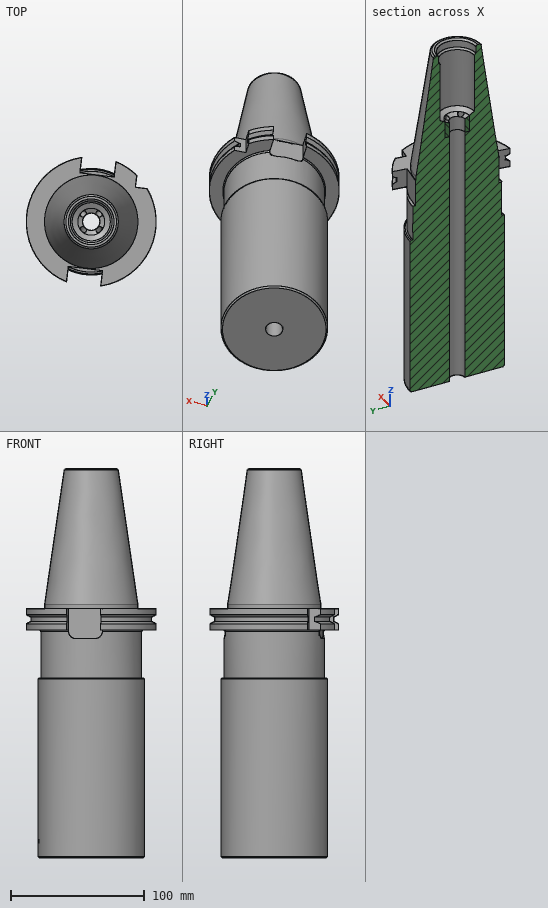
import cadquery as cq
import math

total_length = 291.6
taper_length = 101.8
flange_drop = 3.2
flange_thickness = 16.0
gauge_z = total_length - taper_length
flange_top_z = gauge_z - flange_drop
flange_bottom_z = flange_top_z - flange_thickness
shoulder_z = 134.7

taper_large_d = 70.0
taper_ratio = 7 / 24
taper_end_d = taper_large_d - taper_length * taper_ratio
flange_d = 97.5
collar_d = 77.0
collar_height = 1.2
neck_d = 75.5
body_d = 80.0
edge_chamfer = 1.2
shoulder_chamfer = 1.0

groove_z = 178.8
groove_bottom_d = 91.5
groove_bottom_width = 3.5
groove_half_angle = 30.0
groove_depth = (flange_d - groove_bottom_d) / 2
groove_mouth_width = groove_bottom_width + 2 * groove_depth * math.tan(math.radians(groove_half_angle))
relief_d = 90.5

feature_turn = -7.0
slot_width = 25.7
slot_floor_r = 35.3
slot_bottom_z = 164.2
slot_corner_r = 5.8
recess_corner = 29.7

mouth_d = 31.2
mouth_chamfer = 1.5
mouth_depth = 7.3
seat_depth = 1.5
bore_d = 28.5
bore_depth = 58.3
cone_angle = 30.0
cone_slope = math.tan(math.radians(cone_angle))
through_d = 12.8
cone_edge_z = total_length - bore_depth
cone_foot_z = cone_edge_z - (bore_d - through_d) / 2 * cone_slope

insert_d = 20.0
insert_height = 11.7
insert_base_z = cone_foot_z - insert_height

notch_count = 4
notch_d = 5.0
notch_tilt = 45.0
notch_r = 8.5
notch_first_angle = 45.0
notch_cut_length = 11.7

pin_d = 2.5
pin_length = 5.8
pin_z = 12.5
pin_angle = 189.6


def turned_blank():
    """Taper, flange, neck and body as one turned shape."""
    r = body_d / 2
    taper_edge_r = taper_end_d / 2 + edge_chamfer * taper_ratio / 2
    return (
        cq.Workplane("XZ")
        .moveTo(0, 0)
        .lineTo(r - edge_chamfer, 0)
        .lineTo(r, edge_chamfer)
        .lineTo(r, shoulder_z - shoulder_chamfer)
        .lineTo(r - shoulder_chamfer, shoulder_z)
        .lineTo(neck_d / 2, shoulder_z)
        .lineTo(neck_d / 2, flange_bottom_z - collar_height)
        .lineTo(collar_d / 2, flange_bottom_z)
        .lineTo(flange_d / 2, flange_bottom_z)
        .lineTo(flange_d / 2, groove_z - groove_mouth_width / 2)
        .lineTo(groove_bottom_d / 2, groove_z - groove_bottom_width / 2)
        .lineTo(relief_d / 2, groove_z - groove_bottom_width / 2)
        .lineTo(relief_d / 2, groove_z + groove_bottom_width / 2)
        .lineTo(groove_bottom_d / 2, groove_z + groove_bottom_width / 2)
        .lineTo(flange_d / 2, groove_z + groove_mouth_width / 2)
        .lineTo(flange_d / 2, flange_top_z)
        .lineTo(taper_large_d / 2, flange_top_z)
        .lineTo(taper_large_d / 2, gauge_z)
        .lineTo(taper_edge_r, total_length - edge_chamfer)
        .lineTo(taper_end_d / 2 - edge_chamfer, total_length)
        .lineTo(0, total_length)
        .close()
        .revolve(360, (0, 0, 0), (0, 1, 0))
    )


def stepped_bore():
    """Chamfered mouth, conical seat, bore, conical bottom and through hole."""
    seat_z = total_length - mouth_depth
    return (
        cq.Workplane("XZ")
        .moveTo(0, 0)
        .lineTo(through_d / 2, 0)
        .lineTo(through_d / 2, cone_foot_z)
        .lineTo(bore_d / 2, cone_edge_z)
        .lineTo(bore_d / 2, seat_z - seat_depth)
        .lineTo(mouth_d / 2, seat_z)
        .lineTo(mouth_d / 2, total_length - mouth_chamfer)
        .lineTo(mouth_d / 2 + mouth_chamfer, total_length)
        .lineTo(0, total_length)
        .close()
        .revolve(360, (0, 0, 0), (0, 1, 0))
    )


def insert_ring():
    """Ring with a conical top that continues the bore bottom."""
    rim_z = cone_foot_z + (insert_d - through_d) / 2 * cone_slope
    return (
        cq.Workplane("XZ")
        .moveTo(through_d / 2, insert_base_z)
        .lineTo(insert_d / 2, insert_base_z)
        .lineTo(insert_d / 2, rim_z)
        .lineTo(through_d / 2, cone_foot_z)
        .close()
        .revolve(360, (0, 0, 0), (0, 1, 0))
    )


def insert_notch(angle):
    """Round cutter that runs down and outward through the conical top of the insert."""
    around = math.radians(angle)
    tilt = math.radians(notch_tilt)
    outward = cq.Vector(math.cos(around), math.sin(around), 0)
    run = outward * math.sin(tilt) - cq.Vector(0, 0, math.cos(tilt))
    on_cone = outward * notch_r + cq.Vector(0, 0, cone_foot_z + (notch_r - through_d / 2) * cone_slope)
    start = on_cone - run * notch_d
    return cq.Workplane(cq.Solid.makeCylinder(notch_d / 2, notch_cut_length, start, run))


def drive_slot(angle):
    """Flat-floored slot with rounded lower corners, turned about the axis from +Y."""
    height = flange_top_z - slot_bottom_z
    return (
        cq.Workplane("XY")
        .box(slot_width, flange_d / 2, height, centered=(True, False, False))
        .edges("|Y and <Z")
        .fillet(slot_corner_r)
        .translate((0, slot_floor_r, slot_bottom_z))
        .rotate((0, 0, 0), (0, 0, 1), angle)
    )


def orientation_recess():
    """Square corner cut out of the flange rim, halfway between +X and +Y before turning."""
    return (
        cq.Workplane("XY")
        .box(flange_d / 2, flange_d / 2, flange_thickness, centered=False)
        .translate((recess_corner, recess_corner, flange_bottom_z))
        .rotate((0, 0, 0), (0, 0, 1), feature_turn)
    )


def side_pin():
    """Radial pin, domed to lie flush with the body."""
    skin = cq.Workplane("XY").circle(body_d / 2).extrude(shoulder_z)
    return (
        cq.Workplane("YZ")
        .circle(pin_d / 2)
        .extrude(body_d)
        .translate((body_d / 2 - pin_length, 0, pin_z))
        .rotate((0, 0, 0), (0, 0, 1), pin_angle)
        .intersect(skin)
    )


plain_insert = insert_ring()
insert = plain_insert
for i in range(notch_count):
    insert = insert.cut(insert_notch(notch_first_angle + i * 360 / notch_count))

pin = side_pin()

holder = turned_blank().cut(stepped_bore()).cut(orientation_recess())
for half_turn in (0, 180):
    holder = holder.cut(drive_slot(feature_turn + half_turn))
holder = holder.cut(plain_insert).cut(pin)

result = cq.Compound.makeCompound([holder.val(), insert.val(), pin.val()])